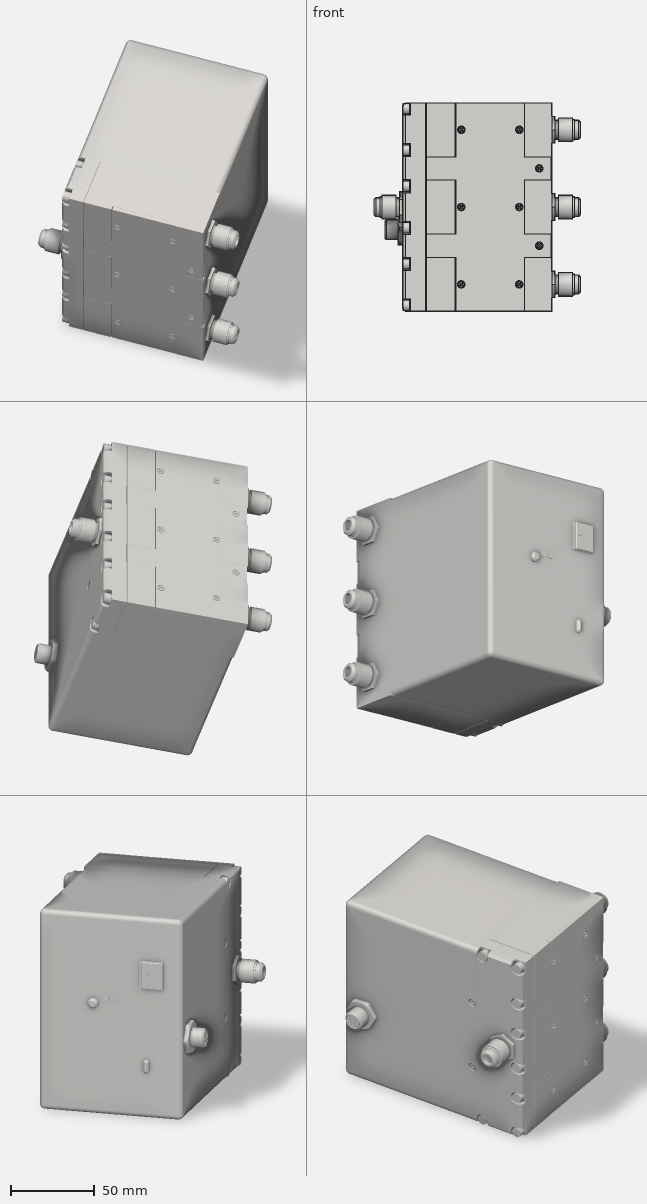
import cadquery as cq
import math


width = 89.0
height = 124.7
overall_depth = 129.9
button_height = 2.7
manifold_depth = 32.0
cover_end = overall_depth - button_height
half_height = height / 2
surface_step = 0.06

plate_proud = 0.3
plate_chamfer = 1.7
plate_joint_x = 13.5
plate_joint_gap = 0.5

cover_radius = 3.0
cover_screw_y = 35.1

channel_pitch = 46.3
fitting_y = 12.7

head_radius = 3.1
head_length = 3.9
shank_radius = 2.9
pocket_radius = 3.9
pocket_depth = 4.5
screw_inset = 3.5
screw_heights = [12.5, 34.0, half_height - screw_inset]

inlay_thickness = 2.6
inlay_left = 31.7
inlay_right = 72.6
inlay_gap = 0.5
arm_width = 13.9
arm_left = plate_joint_x + plate_joint_gap
arm_right = width - inlay_gap

CUT_OVER = 1.3


def box(x0, x1, y0, y1, z0, z1):
    return cq.Workplane("XY").box(x1 - x0, y1 - y0, z1 - z0, centered=False).translate((x0, y0, z0))


def x_rod(radius, x0, x1, y, z):
    return cq.Workplane("YZ", origin=(x0, 0, 0)).center(y, z).circle(radius).extrude(x1 - x0)


def y_rod(radius, y0, y1, x, z):
    return cq.Workplane("XZ", origin=(0, y0, 0)).center(x, z).circle(radius).extrude(y0 - y1)


def manifold():
    return box(plate_joint_x, width, 0, manifold_depth, -half_height, half_height)


def cover():
    top = half_height - surface_step
    body = box(surface_step - plate_proud, width, manifold_depth, cover_end, -top, top)
    return body.edges("|Y or >Y").fillet(cover_radius)


def end_plate():
    plate = box(-plate_proud, plate_joint_x, 0, manifold_depth, -half_height, half_height)
    return plate.faces("<X").edges("<Y or <Z or >Z").chamfer(plate_chamfer)


def joint_groove():
    """Shallow gap round the front, top and bottom between end plate and manifold."""
    depth = plate_joint_gap
    x0, x1 = plate_joint_x, plate_joint_x + plate_joint_gap
    outer = box(x0, x1, -CUT_OVER, manifold_depth, -half_height - CUT_OVER, half_height + CUT_OVER)
    inner = box(x0, x1, depth, manifold_depth, depth - half_height, half_height - depth)
    return outer.cut(inner)


def plug_recess():
    """Port plug sunk slightly into the top of the end plate."""
    plug_radius = 5.0
    plug_x = 6.9
    top = half_height - surface_step
    return cq.Workplane("XY", origin=(plug_x, fitting_y, top)).circle(plug_radius).extrude(CUT_OVER)


def screw_places():
    """(y, z, directions towards the nearby edges) of every end-plate screw."""
    places = []
    for side in (-1, 1):
        for z in screw_heights:
            at_corner = z == screw_heights[-1]
            places.append((screw_inset, side * z, (-1, side if at_corner else 0)))
        places.append((manifold_depth - pocket_radius, side * screw_heights[-1], (0, side)))
    return places


def screw_pocket(y, z, open_y, open_z):
    """Round pocket with straight walls running out to the plate edges."""
    start = -plate_proud - CUT_OVER
    pocket = x_rod(pocket_radius, start, pocket_depth, y, z)
    reach = screw_inset + CUT_OVER
    if open_y:
        low, high = sorted((y, y + open_y * reach))
        pocket = pocket.union(
            box(start, pocket_depth, low, high, z - pocket_radius, z + pocket_radius))
    if open_z:
        low, high = sorted((z, z + open_z * reach))
        pocket = pocket.union(
            box(start, pocket_depth, y - pocket_radius, y + pocket_radius, low, high))
    return pocket


def end_plate_screw(y, z):
    head = x_rod(head_radius, 0, head_length, y, z)
    return head.union(x_rod(shank_radius, head_length, pocket_depth + CUT_OVER, y, z))


def inlay_outline(bar_left, arm_start, arm_end, depth_start, depth_end, top):
    """Upright bar with two cross arms between the channels."""
    shape = box(bar_left, inlay_right, depth_start, depth_end, -top, top)
    for z in (-channel_pitch / 2, channel_pitch / 2):
        shape = shape.union(box(arm_start, arm_end, depth_start, depth_end,
                                z - arm_width / 2, z + arm_width / 2))
    return shape


def inlay_pocket():
    return inlay_outline(inlay_left - inlay_gap, plate_joint_x, width, -CUT_OVER, inlay_thickness,
                         half_height)


def inlay():
    return inlay_outline(inlay_left, arm_left, arm_right, surface_step, inlay_thickness,
                         half_height - surface_step)


def cross_screw_cut(x, z):
    """Ring and cross recess of a flush cross-head screw."""
    radius, ring, depth = 2.2, 0.4, 0.6
    slot_width, slot_length = 0.6, 2.6
    cut = y_rod(radius, -CUT_OVER, depth, x, z).cut(y_rod(radius - ring, -CUT_OVER, depth, x, z))
    for angle in (45, 135):
        slot = (cq.Workplane("XZ", origin=(0, -CUT_OVER, 0)).center(x, z)
                .transformed(rotate=(0, 0, angle)).rect(slot_length, slot_width)
                .extrude(-CUT_OVER - depth))
        cut = cut.union(slot)
    return cut


def inlay_screw_places():
    bar_screw_inset = 3.1
    arm_screw_x = 81.5
    places = [(x, z)
              for x in (inlay_left + bar_screw_inset, inlay_right - bar_screw_inset)
              for z in (-channel_pitch, 0, channel_pitch)]
    return places + [(arm_screw_x, z) for z in (-channel_pitch / 2, channel_pitch / 2)]


def cover_screw_cut(z):
    """Counterbore around a socket-head screw."""
    bore_radius, screw_radius, socket_radius = 2.7, 2.0, 0.9
    bore_depth, screw_top, socket_depth = 2.0, 0.3, 1.3
    start = -plate_proud - CUT_OVER
    bore = x_rod(bore_radius, start, bore_depth, cover_screw_y, z)
    screw = x_rod(screw_radius, screw_top, bore_depth, cover_screw_y, z)
    socket = x_rod(socket_radius, screw_top, screw_top + socket_depth, cover_screw_y, z)
    return bore.cut(screw).union(socket)


def tube_fitting():
    """Fitting pointing along +X, hexagon corners on the Y axis and its root sunk below X = 0."""
    fitting_length = 17.3
    hex_flats = 16.0
    hex_length = 1.8
    neck_end, neck_radius = 3.9, 5.7
    body_end, body_radius = 12.5, 7.1
    collar_end, collar_radius = 13.5, 6.2
    nose_chamfer = 1.3
    nose_radius = 5.7
    lip_radius = 4.4
    bore_radius = 3.4
    bore_depth = 2.0
    root_length = 1.3
    hex_corners = hex_flats / math.cos(math.pi / 6)
    hexagon = (cq.Workplane("YZ", origin=(-root_length, 0, 0))
               .polygon(6, hex_corners).extrude(root_length + hex_length))
    turned = (cq.Workplane("XY")
              .polyline([(0, 0), (0, neck_radius), (neck_end, neck_radius), (neck_end, body_radius),
                         (body_end, body_radius), (body_end, collar_radius),
                         (collar_end, collar_radius), (collar_end, nose_radius),
                         (fitting_length - nose_chamfer, nose_radius),
                         (fitting_length, lip_radius), (fitting_length, bore_radius),
                         (fitting_length - bore_depth, bore_radius),
                         (fitting_length - bore_depth, 0)])
              .close().revolve(360, (0, 0, 0), (1, 0, 0)))
    return hexagon.union(turned)


def outlet_fittings():
    fittings = tube_fitting().translate((width, fitting_y, 0))
    for z in (-channel_pitch, channel_pitch):
        fittings = fittings.union(tube_fitting().translate((width, fitting_y, z)))
    return fittings


def inlet_fitting():
    turned_over = tube_fitting().rotate((0, 0, 0), (0, 0, 1), 180).rotate((0, 0, 0), (1, 0, 0), 90)
    return turned_over.translate((-plate_proud, fitting_y, 0))


def inlet_spot_face():
    spot_radius = 10.3
    return x_rod(spot_radius, -plate_proud - CUT_OVER, surface_step - plate_proud, fitting_y, 0)


def plug_connector():
    y, z = 113.7, -13.5
    nut_flats, nut_length, nut_tilt = 18.2, 2.9, -3.0
    nut_round_radius = 10.1
    barrel_radius, barrel_length, tip_chamfer = 6.0, 7.8, 0.9
    ring_outer, ring_inner, ring_depth = 5.1, 4.4, 1.3
    contact_radius, contact_circle, contact_count = 0.5, 2.6, 4
    coding_offset = 2.5

    nut_outer = -plate_proud - nut_length
    tip = nut_outer - barrel_length
    nut_corners = nut_flats / math.cos(math.pi / 6)
    nut = (cq.Workplane("YZ", origin=(nut_outer, y, z)).transformed(rotate=(0, 0, nut_tilt))
           .polygon(6, nut_corners).extrude(nut_length + plate_proud + CUT_OVER))
    nut_round = (x_rod(nut_round_radius, nut_outer, CUT_OVER, y, z)
                 .faces("<X").chamfer(tip_chamfer))
    barrel = x_rod(barrel_radius, tip, CUT_OVER, y, z).faces("<X").chamfer(tip_chamfer)
    connector = nut.intersect(nut_round).union(barrel)

    ring = x_rod(ring_outer, tip, tip + ring_depth, y, z)
    ring = ring.cut(x_rod(ring_inner, tip, tip + ring_depth, y, z))
    connector = connector.cut(ring)

    offsets = [(0, 0), (coding_offset, -coding_offset)]
    for index in range(contact_count):
        angle = 2 * math.pi * index / contact_count
        offsets.append((contact_circle * math.cos(angle), contact_circle * math.sin(angle)))
    for offset_y, offset_z in offsets:
        connector = connector.cut(
            x_rod(contact_radius, tip, tip + ring_depth, y + offset_y, z + offset_z))
    return connector


def rear_socket():
    """Rectangular socket on a low flange, with a small key on top."""
    x0, x1, z0, z1 = 11.2, 26.0, 18.0, 35.7
    flange_height, socket_height = 0.8, 2.2
    right_inset, end_inset, rim_chamfer = 1.5, 0.4, 0.4
    key_x, key_z, key_radius = 21.7, 28.3, 1.4
    root = cover_end - CUT_OVER
    flange = box(x0, x1, root, cover_end + flange_height, z0, z1)
    body = box(x0, x1 - right_inset, root, cover_end + socket_height, z0 + end_inset, z1 - end_inset)
    body = body.faces(">Y").chamfer(rim_chamfer)
    return flange.union(body).union(y_rod(key_radius, root, overall_depth, key_x, key_z))


def rear_buttons():
    button_x, button_z, button_radius = 55.0, 6.9, 3.1
    rocker_x, rocker_z, rocker_width, rocker_length = 21.7, -29.9, 3.4, 8.3
    edge_chamfer = 1.2
    root = cover_end - CUT_OVER
    button = y_rod(button_radius, root, overall_depth, button_x, button_z)
    button = button.faces(">Y").chamfer(edge_chamfer)
    rocker = (cq.Workplane("XZ", origin=(0, root, 0)).center(rocker_x, rocker_z)
              .slot2D(rocker_length, rocker_width, 90).extrude(root - overall_depth))
    rocker = rocker.faces(">Y").chamfer(edge_chamfer)
    return button.union(rocker)


def indicator_lights():
    light_radius, light_height, light_z = 2.0, 0.5, 10.5
    left_light_x, light_pitch = 42.4, 5.2
    root = cover_end - CUT_OVER
    top = cover_end + light_height
    left_light = y_rod(light_radius, root, top, left_light_x, light_z)
    return left_light.union(left_light.translate((light_pitch, 0, 0)))


part = manifold().union(end_plate()).union(cover())
part = part.cut(joint_groove()).cut(plug_recess()).cut(inlet_spot_face())

part = part.cut(inlay_pocket()).union(inlay())
for screw_x, screw_z in inlay_screw_places():
    part = part.cut(cross_screw_cut(screw_x, screw_z))

for screw_y, screw_z, (edge_y, edge_z) in screw_places():
    part = part.cut(screw_pocket(screw_y, screw_z, edge_y, edge_z))
    part = part.union(end_plate_screw(screw_y, screw_z))

for screw_z in (-channel_pitch / 2, channel_pitch / 2):
    part = part.cut(cover_screw_cut(screw_z))

part = part.union(outlet_fittings()).union(inlet_fitting()).union(plug_connector())
part = part.union(rear_socket()).union(rear_buttons()).union(indicator_lights())

result = part